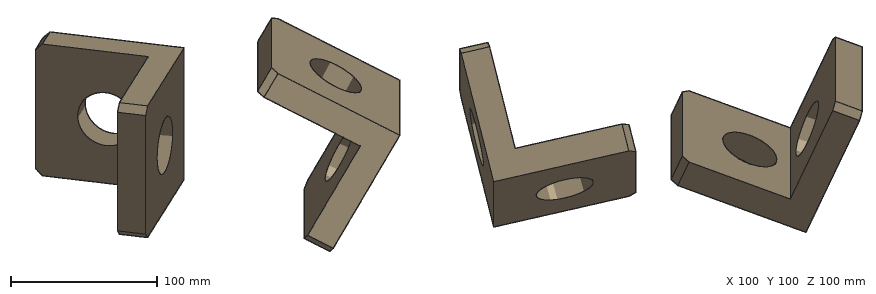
import cadquery as cq

side = 100.0
wall = 20.0
corner_chamfer = 5.0

hole_diameter = 40.0
back_hole_height = 48.71
side_hole_height = 49.14


def angle_body():
    """L-shaped body: back wall at +Y, side wall at +X."""
    block = cq.Workplane("XY").box(side, side, side, centered=False)
    inner = side - wall
    corner_space = cq.Workplane("XY").box(inner, inner, side, centered=False)
    return block.cut(corner_space)


def chamfer_free_ends(body):
    """Bevel the top and bottom edges at the free end of each wall."""
    body = body.faces("<X").edges("|Y").chamfer(corner_chamfer)
    return body.faces("<Y").edges("|X").chamfer(corner_chamfer)


def back_wall_hole():
    """Cutter along Y through the back wall."""
    plane = cq.Workplane("XZ", origin=(side / 2, side, back_hole_height))
    return plane.circle(hole_diameter / 2).extrude(wall)


def side_wall_hole():
    """Cutter along X through the side wall."""
    plane = cq.Workplane("YZ", origin=(side - wall, side / 2, side_hole_height))
    return plane.circle(hole_diameter / 2).extrude(wall)


result = chamfer_free_ends(angle_body()).cut(back_wall_hole()).cut(side_wall_hole())